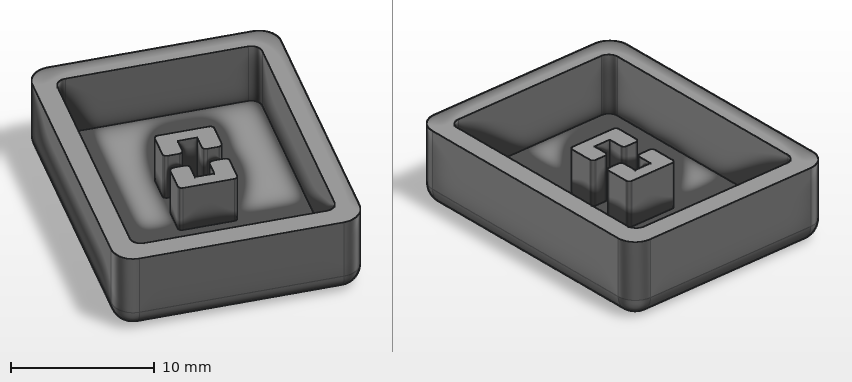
import cadquery as cq

length = 22.8
width = 18.05
height = 6.3
outer_radius = 1.6

wall = 1.6
floor_thickness = 1.5
pocket_corner_radius = 0.8

stem_length = 6.25
stem_width = 4.3
stem_height = 3.7
slot_width = 1.41
slot_length = 4.3
stem_edge_radius = 0.3


def make_shell():
    """Rounded tray body with a rectangular pocket."""
    body = cq.Workplane("XY").box(length, width, height, centered=(True, True, False))
    body = body.edges("|Z").fillet(outer_radius)
    body = body.faces("<Z").edges().fillet(outer_radius)
    pocket = (
        cq.Workplane("XY")
        .workplane(offset=floor_thickness)
        .rect(length - 2 * wall, width - 2 * wall)
        .extrude(height - floor_thickness)
        .edges("|Z")
        .fillet(pocket_corner_radius)
    )
    return body.cut(pocket)


def make_stem():
    """Two facing C-shaped posts left by a cross-shaped slot."""
    base = cq.Workplane("XY").workplane(offset=floor_thickness)
    block = base.rect(stem_length, stem_width).extrude(stem_height)
    gap = base.rect(slot_width, stem_width).extrude(stem_height)
    slot = base.rect(slot_length, slot_width).extrude(stem_height)

    posts = block.cut(gap).cut(slot)

    rounded_edges = posts.edges("|Z").filter(
        lambda edge: abs(abs(edge.Center().x) - slot_length / 2) > stem_edge_radius
    )
    return rounded_edges.fillet(stem_edge_radius)


result = make_shell().union(make_stem())